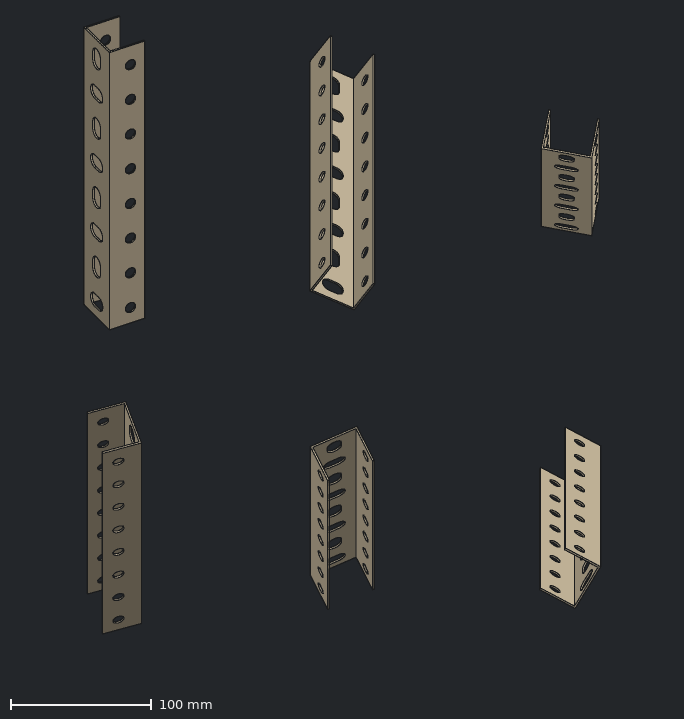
import cadquery as cq

length = 240.0
width = 36.7
depth = 29.0
thickness = 1.5

row_count = 8
row_pitch = 30.0
first_row_height = 13.5
slot_length = 17.0
slot_width = 11.0
hole_diameter = 8.2
hole_from_web = 17.3

row_heights = [first_row_height + i * row_pitch for i in range(row_count)]


def make_channel():
    """U-shaped sheet channel with sharp corners."""
    outer = cq.Workplane("XY").box(width, depth, length, centered=(True, False, False))
    inner = (
        cq.Workplane("XY")
        .box(width - 2 * thickness, depth, length, centered=(True, False, False))
        .translate((0, thickness, 0))
    )
    return outer.cut(inner)


def make_web_slot(height, angle):
    """Cutter for one slot through the web; angle is measured from X."""
    return (
        cq.Workplane("XZ")
        .center(0, height)
        .slot2D(slot_length, slot_width, angle)
        .extrude(thickness, both=True)
    )


def make_flange_holes():
    """Round cutters passing through both flanges at every row."""
    return (
        cq.Workplane("YZ")
        .pushPoints([(hole_from_web, height) for height in row_heights])
        .circle(hole_diameter / 2)
        .extrude(width, both=True)
    )


result = make_channel().cut(make_flange_holes())
for row, height in enumerate(row_heights):
    slot_angle = 0 if row % 2 == 0 else 90
    result = result.cut(make_web_slot(height, slot_angle))